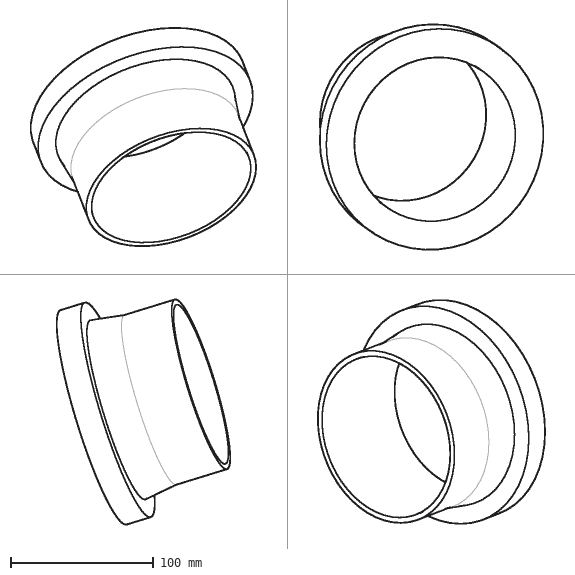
import cadquery as cq

flange_diameter = 158.0
cone_diameter = 132.0
pipe_diameter = 125.0
bore_diameter = 117.0
total_length = 80.0
flange_thickness = 18.0
cone_length = 24.3

cone_end = flange_thickness + cone_length

half_section = (
    cq.Workplane("XY")
    .moveTo(0, bore_diameter / 2)
    .lineTo(0, flange_diameter / 2)
    .lineTo(flange_thickness, flange_diameter / 2)
    .lineTo(flange_thickness, cone_diameter / 2)
    .lineTo(cone_end, pipe_diameter / 2)
    .lineTo(total_length, pipe_diameter / 2)
    .lineTo(total_length, bore_diameter / 2)
    .close()
)

result = half_section.revolve(360, (0, 0, 0), (1, 0, 0))